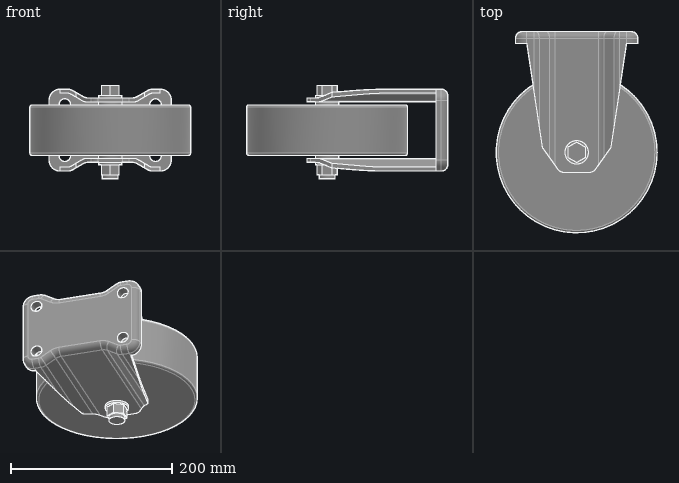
import cadquery as cq
import math


wheel_diameter = 200.0
wheel_width = 63.0
wheel_edge_radius = 3.0

plate_face_y = 150.0
plate_thickness = 15.0
plate_half_length = 76.0
plate_half_height = 51.0
plate_corner_radius = 14.0
plate_edge_radius = 8.5
plate_back_y = plate_face_y - plate_thickness

hole_diameter = 14.0
hole_x = 56.2
hole_z = 31.8

waist_half_height = 40.0
low_fold_x = 30.5
fold_angle = math.radians(30)
outer_fold_radius = 13.8
inner_fold_radius = 8.8
leg_thickness = 5.0

leg_top_half_width = plate_half_length - plate_corner_radius
leg_knee_half_width = 42.5
leg_knee_y = 6.0
leg_tip_half_width = 20.5
leg_tip_y = -25.0
leg_tip_radius = 10.0

washer_diameter = 29.0
washer_thickness = 3.0
hex_across_flats = 22.0
hex_height = 12.5
bolt_diameter = 20.0
bolt_end_length = 5.0
washer_outer_z = waist_half_height + washer_thickness
hex_outer_z = washer_outer_z + hex_height
bolt_end_z = hex_outer_z + bolt_end_length

ramp_run = (plate_half_height - waist_half_height) / math.tan(fold_angle)
high_fold_x = low_fold_x + ramp_run


def extrude_along_y(sketch, start_y, end_y):
    """Extrude an XZ sketch drawn at Y = 0 so that it fills start_y to end_y."""
    return sketch.extrude(-(end_y - start_y)).translate((0, start_y, 0))


def quarter_section(end_x, inset, radius):
    """Sketch the +X, +Z quarter under the fold line, moved inwards by inset, with folds of this radius."""
    shift_x = inset * math.tan(fold_angle / 2)
    low_x = low_fold_x + shift_x
    high_x = high_fold_x + shift_x
    low_z = waist_half_height - inset
    high_z = plate_half_height - inset
    tangent = radius * math.tan(fold_angle / 2)
    tangent_x = tangent * math.cos(fold_angle)
    tangent_z = tangent * math.sin(fold_angle)
    return (
        cq.Workplane("XZ")
        .lineTo(0, low_z)
        .lineTo(low_x - tangent, low_z)
        .tangentArcPoint((low_x + tangent_x, low_z + tangent_z), relative=False)
        .lineTo(high_x - tangent_x, high_z - tangent_z)
        .tangentArcPoint((high_x + tangent, high_z), relative=False)
        .lineTo(end_x, high_z)
        .lineTo(end_x, 0)
        .close()
    )


def mirror_to_all_quarters(quarter):
    half = quarter.union(quarter.mirror("YZ"))
    return half.union(half.mirror("XY")).clean()


def make_wheel():
    return (
        cq.Workplane("XY")
        .workplane(offset=-wheel_width / 2)
        .circle(wheel_diameter / 2)
        .extrude(wheel_width)
        .edges("%CIRCLE")
        .fillet(wheel_edge_radius)
    )


def make_plate():
    section = quarter_section(plate_half_length, 0, outer_fold_radius)
    quarter = extrude_along_y(section, plate_back_y, plate_face_y)
    quarter = quarter.faces(">X").edges(">Z").fillet(plate_corner_radius)
    plate = mirror_to_all_quarters(quarter)
    plate = plate.faces(">Y").edges().fillet(plate_edge_radius)
    holes = (
        cq.Workplane("XZ")
        .rect(2 * hole_x, 2 * hole_z, forConstruction=True)
        .vertices()
        .circle(hole_diameter / 2)
    )
    return plate.cut(extrude_along_y(holes, plate_back_y, plate_face_y))


def make_legs():
    outer_section = quarter_section(leg_top_half_width, 0, outer_fold_radius)
    inner_section = quarter_section(leg_top_half_width, leg_thickness, inner_fold_radius)
    outer = extrude_along_y(outer_section, leg_tip_y, plate_back_y)
    inner = extrude_along_y(inner_section, leg_tip_y, plate_back_y)
    sheets = mirror_to_all_quarters(outer.cut(inner))
    outline = (
        cq.Workplane("XY")
        .moveTo(-leg_top_half_width, plate_back_y)
        .lineTo(-leg_knee_half_width, leg_knee_y)
        .lineTo(-leg_tip_half_width, leg_tip_y)
        .lineTo(leg_tip_half_width, leg_tip_y)
        .lineTo(leg_knee_half_width, leg_knee_y)
        .lineTo(leg_top_half_width, plate_back_y)
        .close()
        .extrude(plate_half_height, both=True)
        .edges("|Z and <Y")
        .fillet(leg_tip_radius)
    )
    return sheets.intersect(outline)


def make_axle():
    washers = cq.Workplane("XY").circle(washer_diameter / 2).extrude(washer_outer_z, both=True)
    hex_across_corners = hex_across_flats / math.cos(math.radians(30))
    head_and_nut = (
        cq.Workplane("XY")
        .transformed(rotate=(0, 0, 90))
        .polygon(6, hex_across_corners)
        .extrude(hex_outer_z, both=True)
    )
    bolt_end = cq.Workplane("XY").circle(bolt_diameter / 2).extrude(-bolt_end_z)
    return washers.union(head_and_nut).union(bolt_end)


result = make_plate().union(make_legs()).union(make_wheel()).union(make_axle())